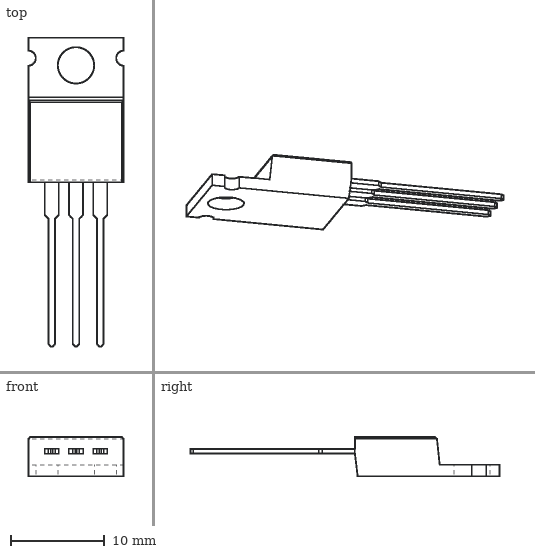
import cadquery as cq

PACKAGE_WIDTH = 10.16
TAB_THICKNESS = 1.27
TAB_LENGTH = 6.36
HOLE_DIAMETER = 3.84
HOLE_FROM_TAB_END = 2.95
NOTCH_RADIUS = 0.79
NOTCH_FROM_TAB_END = 2.19

BODY_HEIGHT = 4.21
BODY_LENGTH = 9.04
PARTING_HEIGHT = 2.40
REAR_FACE_SETBACK = 0.31
FRONT_FACE_SETBACK = 0.29
TOP_CHAMFER = 0.22

LEAD_COUNT = 3
LEAD_PITCH = 2.58
LEAD_BOTTOM_HEIGHT = 2.43
LEAD_THICKNESS = 0.50
LEAD_WIDE_WIDTH = 1.53
LEAD_NARROW_WIDTH = 0.74
LEAD_WIDE_LENGTH = 3.47
LEAD_SHOULDER_LENGTH = 0.39
LEAD_TIP_LENGTH = 0.32
LEAD_TIP_WIDTH = 0.16
OVERALL_LENGTH = 32.89

BODY_FRONT_Y = 0.0
BODY_REAR_Y = BODY_FRONT_Y + BODY_LENGTH
TAB_END_Y = BODY_REAR_Y + TAB_LENGTH
LEAD_END_Y = TAB_END_Y - OVERALL_LENGTH


def make_body():
    """Block with a drafted rear face, drafted lower front face and chamfered top edges."""
    side_profile = [
        (BODY_FRONT_Y + FRONT_FACE_SETBACK, 0),
        (BODY_FRONT_Y, PARTING_HEIGHT),
        (BODY_FRONT_Y, BODY_HEIGHT),
        (BODY_REAR_Y - REAR_FACE_SETBACK, BODY_HEIGHT),
        (BODY_REAR_Y, TAB_THICKNESS),
        (BODY_REAR_Y, 0),
    ]
    block = cq.Workplane("YZ").polyline(side_profile).close().extrude(PACKAGE_WIDTH / 2, both=True)
    top_side_and_rear_edges = block.faces(">Z").edges("|Y or >Y")
    return top_side_and_rear_edges.chamfer(TOP_CHAMFER)


def make_tab():
    """Mounting plate with a hole and a round notch in each side edge."""
    plate = cq.Workplane("XY").box(
        PACKAGE_WIDTH, TAB_LENGTH, TAB_THICKNESS, centered=(True, False, False)
    ).translate((0, BODY_REAR_Y, 0))
    hole = (
        cq.Workplane("XY")
        .center(0, TAB_END_Y - HOLE_FROM_TAB_END)
        .circle(HOLE_DIAMETER / 2)
        .extrude(TAB_THICKNESS)
    )
    notches = (
        cq.Workplane("XY")
        .pushPoints([(side * PACKAGE_WIDTH / 2, TAB_END_Y - NOTCH_FROM_TAB_END) for side in (-1, 1)])
        .circle(NOTCH_RADIUS)
        .extrude(TAB_THICKNESS)
    )
    return plate.cut(hole).cut(notches)


def make_lead(center_x):
    """Flat lead: wide root, tapered shoulder, narrow shank and pointed tip."""
    shoulder_y = BODY_FRONT_Y - LEAD_WIDE_LENGTH
    right_side = [
        (LEAD_WIDE_WIDTH / 2, BODY_FRONT_Y),
        (LEAD_WIDE_WIDTH / 2, shoulder_y),
        (LEAD_NARROW_WIDTH / 2, shoulder_y - LEAD_SHOULDER_LENGTH),
        (LEAD_NARROW_WIDTH / 2, LEAD_END_Y + LEAD_TIP_LENGTH),
        (LEAD_TIP_WIDTH / 2, LEAD_END_Y),
    ]
    left_side = [(-x, y) for x, y in reversed(right_side)]
    flat = cq.Workplane("XY").polyline(right_side + left_side).close().extrude(LEAD_THICKNESS)
    return flat.translate((center_x, 0, LEAD_BOTTOM_HEIGHT))


result = make_body().union(make_tab())
for index in range(LEAD_COUNT):
    offset_from_middle = index - (LEAD_COUNT - 1) / 2
    result = result.union(make_lead(offset_from_middle * LEAD_PITCH))